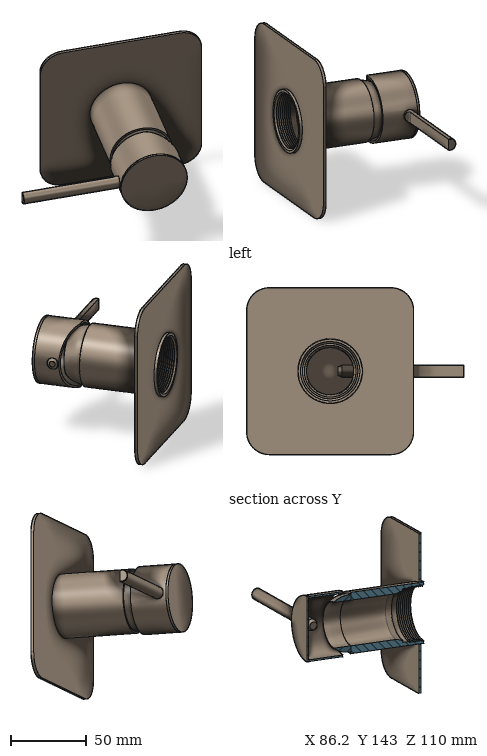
import cadquery as cq
import math


plate_size = 110.0
plate_thickness = 2.0
plate_start = 2.0
plate_corner_radius = 15.0
plate_hole_diameter = 42.6

sleeve_diameter = 42.5
sleeve_length = 53.9
mouth_diameter = 39.0
mouth_depth = 1.1
thread_crest_diameter = 36.5
thread_root_diameter = 38.2
thread_pitch = 1.5
thread_turns = 7
seat_start = 15.5
seat_diameter = 34.0
seat_end = 20.6
bore_diameter = 31.0

ball_diameter = 39.9
ball_center = 54.6
collar_end = 66.5

cap_start = 59.6
cap_diameter = 45.0
cap_bore_diameter = 42.0
overall_length = 86.2
disc_diameter = 45.2
disc_thickness = 1.6
disc_start = overall_length - disc_thickness
slant_start_y = 2.3
slant_end_x = 67.8

lever_x = 78.8
lever_diameter = 8.0
lever_end_y = plate_size / 2 - 143.0
lever_flat_x = 77.5
lever_shoulder_y = -23.7
lever_fillet_radius = 3.0
lever_edge_chamfer = 0.3
stem_shoulder_y = -7.9
stem_tip_y = -5.0
stem_tip_diameter = 5.5

screw_x = 72.1
screw_diameter = 7.9
screw_face_diameter = 4.0
screw_face_y = 23.3
screw_rim_y = 22.3
screw_inner_y = cap_bore_diameter / 2


def cylinder_x(diameter, start, end):
    return cq.Workplane("YZ").workplane(offset=start).circle(diameter / 2).extrude(end - start)


def revolve_about_x(profile):
    return profile.close().revolve(360, (0, 0, 0), (1, 0, 0))


def turned_along_y(points, x):
    """Revolve (radius, y) points about the line parallel to Y at the given x."""
    return cq.Workplane("XY").polyline(points).close().revolve(360, (0, 0, 0), (0, 1, 0)).translate((x, 0, 0))


def make_plate():
    blank = cq.Workplane("YZ").workplane(offset=plate_start).rect(plate_size, plate_size)
    blank = blank.extrude(plate_thickness).edges("|X").fillet(plate_corner_radius)
    return blank.cut(cylinder_x(plate_hole_diameter, plate_start, plate_start + plate_thickness))


def make_sleeve():
    crest = thread_crest_diameter / 2
    root = thread_root_diameter / 2
    bore = [(0, 0), (0, mouth_diameter / 2), (mouth_depth, crest)]
    for turn in range(thread_turns):
        groove_start = mouth_depth + turn * thread_pitch
        bore += [(groove_start + thread_pitch / 2, root), (groove_start + thread_pitch, crest)]
    bore += [
        (seat_start, crest),
        (seat_start, seat_diameter / 2),
        (seat_end, bore_diameter / 2),
        (sleeve_length, bore_diameter / 2),
        (sleeve_length, 0),
    ]
    return cylinder_x(sleeve_diameter, 0, sleeve_length).cut(revolve_about_x(cq.Workplane("XY").polyline(bore)))


def make_collar():
    radius = ball_diameter / 2
    half_disc = (
        cq.Workplane("XY")
        .moveTo(ball_center - radius, 0)
        .threePointArc((ball_center, radius), (ball_center + radius, 0))
    )
    ball = revolve_about_x(half_disc)
    collar = ball.intersect(cylinder_x(ball_diameter, sleeve_length, collar_end))
    return collar.cut(cylinder_x(bore_diameter, sleeve_length, collar_end))


def make_cap(lever, screw):
    cap = cylinder_x(cap_diameter, cap_start, disc_start)
    cap = cap.cut(cylinder_x(cap_bore_diameter, cap_start, disc_start))
    relief = (
        cq.Workplane("XY")
        .moveTo(cap_start, slant_start_y)
        .lineTo(slant_end_x, cap_diameter / 2)
        .lineTo(cap_start, cap_diameter / 2)
        .close()
        .extrude(cap_diameter, both=True)
    )
    return cap.cut(relief).cut(lever).cut(screw)


def make_lever():
    radius = lever_diameter / 2
    tip_radius = stem_tip_diameter / 2
    rod = turned_along_y(
        [
            (0, lever_end_y),
            (radius - lever_edge_chamfer, lever_end_y),
            (radius, lever_end_y + lever_edge_chamfer),
            (radius, stem_shoulder_y),
            (tip_radius, stem_tip_y),
            (0, stem_tip_y),
        ],
        lever_x,
    )
    fillet_start_x = lever_flat_x - lever_fillet_radius
    fillet_middle = lever_fillet_radius * math.sqrt(0.5)
    fillet_center_y = lever_shoulder_y - lever_fillet_radius
    flat_cut = (
        cq.Workplane("XY")
        .moveTo(fillet_start_x, lever_end_y)
        .lineTo(lever_flat_x, lever_end_y)
        .lineTo(lever_flat_x, fillet_center_y)
        .threePointArc(
            (fillet_start_x + fillet_middle, fillet_center_y + fillet_middle),
            (fillet_start_x, lever_shoulder_y),
        )
        .close()
        .extrude(lever_diameter, both=True)
    )
    return rod.cut(flat_cut)


def make_screw():
    radius = screw_diameter / 2
    return turned_along_y(
        [
            (0, screw_inner_y),
            (radius, screw_inner_y),
            (radius, screw_rim_y),
            (screw_face_diameter / 2, screw_face_y),
            (0, screw_face_y),
        ],
        screw_x,
    )


plate = make_plate()
sleeve = make_sleeve()
collar = make_collar()
lever = make_lever()
screw = make_screw()
cap = make_cap(lever, screw)
end_disc = cylinder_x(disc_diameter, disc_start, overall_length)

bodies = [plate, sleeve, collar, cap, end_disc, lever, screw]
result = cq.Compound.makeCompound([body.val() for body in bodies])